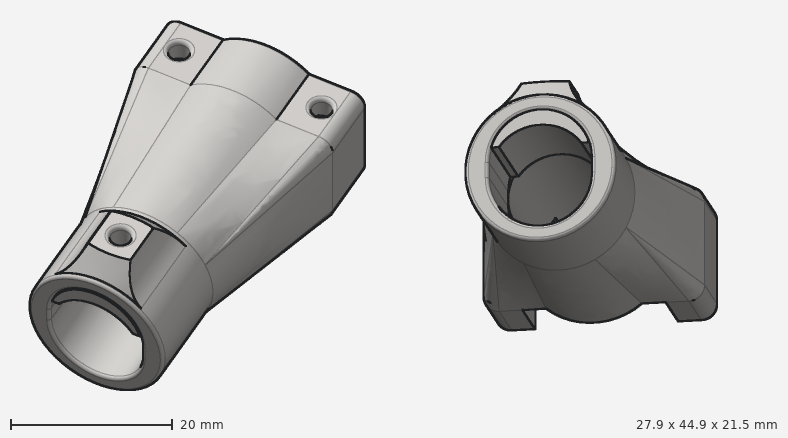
import cadquery as cq
import math

length = 44.85
front_y = -length / 2
back_y = length / 2
tube_end_y = -9.45
block_start_y = 13.65

tube_radius = 9.5
bore_radius = 6.45
tube_wall = tube_radius - bore_radius
slot_shift = 1.0
edge_round = 0.45

block_width = 27.85
block_half_width = block_width / 2
block_half_height = 7.35
block_corner_radius = 1.97
pocket_half_width = 9.0

top_strip_angle = 61.8
side_strip_angle = 27.8
corner_strip_angle = 0.4

pad_top_z = 11.97
pad_half_width = 3.0
pad_half_length = 5.85
pad_y = (front_y + tube_end_y) / 2

screw_radius = 1.35
screw_mouth_round = 0.6
block_screw_x = 10.0
block_screw_y = (block_start_y + back_y) / 2

shoe_underside_z = 2.85
shoe_screw_recess = 1.0

bulge_half_width = math.sqrt(tube_radius**2 - block_half_height**2)


def section(y):
    """Workplane across the tube axis; its local axes are X and Z, and it extrudes toward -Y."""
    return cq.Workplane("XZ", origin=(0, y, 0))


def prism(sketch, start_y, end_y):
    """Extrude the closed outline on a section at start_y as far as end_y."""
    return sketch.extrude(start_y - end_y)


def on_tube(angle):
    """Point (x, z) on the outer circle of the tube at a polar angle in degrees."""
    turn = math.radians(angle)
    return tube_radius * math.cos(turn), tube_radius * math.sin(turn)


def block_outline(y):
    """Rounded rectangle with a tube-sized bulge above and below, drawn clockwise from the top."""
    flat_x = block_half_width - block_corner_radius
    flat_z = block_half_height - block_corner_radius
    corner_mid = block_corner_radius * math.sqrt(0.5)
    mid_x = flat_x + corner_mid
    mid_z = flat_z + corner_mid
    return (
        section(y)
        .moveTo(-bulge_half_width, block_half_height)
        .threePointArc((0, tube_radius), (bulge_half_width, block_half_height))
        .lineTo(flat_x, block_half_height)
        .threePointArc((mid_x, mid_z), (block_half_width, flat_z))
        .lineTo(block_half_width, -flat_z)
        .threePointArc((mid_x, -mid_z), (flat_x, -block_half_height))
        .lineTo(bulge_half_width, -block_half_height)
        .threePointArc((0, -tube_radius), (-bulge_half_width, -block_half_height))
        .lineTo(-flat_x, -block_half_height)
        .threePointArc((-mid_x, -mid_z), (-block_half_width, -flat_z))
        .lineTo(-block_half_width, flat_z)
        .threePointArc((-mid_x, mid_z), (-flat_x, block_half_height))
        .close()
    )


def divided_circle(y):
    """Outer circle of the tube, split into arcs that pair with the edges of the block outline."""
    upper_corner = side_strip_angle + corner_strip_angle
    right_side = [top_strip_angle, upper_corner, side_strip_angle]
    right_side += [-angle for angle in reversed(right_side)]
    left_side = [-180 - angle for angle in reversed(right_side)]
    angles = right_side + left_side
    outline = section(y).moveTo(*on_tube(180 - top_strip_angle))
    previous = 180 - top_strip_angle
    for angle in angles:
        outline = outline.threePointArc(on_tube((previous + angle) / 2), on_tube(angle))
        previous = angle
    return outline.wire()


def make_slot():
    """Front stretch of the bore: a slot, taller than wide, that leaves room for the clamp shoe."""
    slot = section(front_y).slot2D(2 * (bore_radius + slot_shift), 2 * bore_radius, 90)
    return prism(slot, front_y, tube_end_y)


def make_tube():
    """Tube with its slot-shaped front bore; both front edges are rounded."""
    tube = prism(section(front_y).circle(tube_radius), front_y, tube_end_y)
    return tube.cut(make_slot()).faces("<Y").edges().fillet(edge_round)


def make_transition():
    """Ruled loft that narrows from the block outline to the tube."""
    wires = [divided_circle(tube_end_y).val(), block_outline(block_start_y).val()]
    return cq.Workplane(cq.Solid.makeLoft(wires, True))


def make_block():
    """Straight block at the back; its back edges are rounded."""
    block = prism(block_outline(block_start_y), block_start_y, back_y)
    return block.faces(">Y").edges().fillet(edge_round)


def pad_side_middle():
    """Middle point of the pad's right side arc, which is tangent to the tube at its foot."""
    normal_x = bulge_half_width / tube_radius
    normal_z = block_half_height / tube_radius
    chord_x = pad_half_width - bulge_half_width
    chord_z = pad_top_z - block_half_height
    chord_squared = chord_x**2 + chord_z**2
    radius = chord_squared / (2 * (chord_x * normal_x + chord_z * normal_z))
    centre_x = bulge_half_width + radius * normal_x
    centre_z = block_half_height + radius * normal_z
    toward_x = bulge_half_width + chord_x / 2 - centre_x
    toward_z = block_half_height + chord_z / 2 - centre_z
    reach = radius / math.hypot(toward_x, toward_z)
    return centre_x + toward_x * reach, centre_z + toward_z * reach


def make_pad():
    """Screw pad whose sides flow into the tube and whose ends are 45 degree cones about its axis."""
    start_y = pad_y - pad_half_length
    end_y = pad_y + pad_half_length
    middle_x, middle_z = pad_side_middle()
    across = prism(
        section(start_y)
        .moveTo(0, 0)
        .lineTo(bulge_half_width, block_half_height)
        .threePointArc((middle_x, middle_z), (pad_half_width, pad_top_z))
        .lineTo(-pad_half_width, pad_top_z)
        .threePointArc((-middle_x, middle_z), (-bulge_half_width, block_half_height))
        .close(),
        start_y,
        end_y,
    )
    apex_radius = tube_radius + pad_half_length
    half_outline = [
        (0, start_y),
        (tube_radius, start_y),
        (apex_radius, pad_y),
        (tube_radius, end_y),
        (0, end_y),
    ]
    cones = (
        cq.Workplane("XY")
        .polyline(half_outline)
        .close()
        .revolve(360, (0, 0, 0), (0, 1, 0))
    )
    return across.intersect(cones)


def screw_cutter(x, y, mouth_z, floor_z):
    """Vertical screw hole with a rounded mouth at mouth_z."""
    mouth_radius = screw_radius + screw_mouth_round
    arc_reach = screw_mouth_round * (1 - math.sqrt(0.5))
    depth = mouth_z - floor_z
    return (
        cq.Workplane("XZ")
        .moveTo(0, 0)
        .lineTo(mouth_radius, 0)
        .threePointArc((screw_radius + arc_reach, -arc_reach), (screw_radius, -screw_mouth_round))
        .lineTo(screw_radius, -depth)
        .lineTo(0, -depth)
        .close()
        .revolve(360, (0, 0, 0), (0, 1, 0))
        .translate((x, y, mouth_z))
    )


def make_housing():
    """Tube, transition and block as one body, with bore, pocket and screw holes."""
    pad = make_pad().cut(make_slot())

    bore = prism(section(tube_end_y).circle(bore_radius), tube_end_y, back_y)

    pocket_top_z = block_half_height - tube_wall
    pocket = prism(
        section(block_start_y)
        .moveTo(-pocket_half_width, pocket_top_z)
        .lineTo(pocket_half_width, pocket_top_z)
        .lineTo(pocket_half_width, -tube_radius)
        .lineTo(-pocket_half_width, -tube_radius)
        .close(),
        block_start_y,
        back_y,
    )

    back = make_transition().union(make_block()).cut(bore).cut(pocket)
    housing = make_tube().union(pad).union(back)

    housing = housing.cut(screw_cutter(0, pad_y, pad_top_z, bore_radius))
    for x in (-block_screw_x, block_screw_x):
        housing = housing.cut(screw_cutter(x, block_screw_y, block_half_height, pocket_top_z))
    return housing


def make_shoe():
    """Clamp shoe that fills the top of the slot and carries a round seat on its underside."""
    top_z = bore_radius + slot_shift
    upper_part = prism(
        section(front_y)
        .center(0, (top_z + shoe_underside_z) / 2)
        .rect(2 * bore_radius, top_z - shoe_underside_z),
        front_y,
        tube_end_y,
    )
    seat = prism(section(front_y).center(0, -slot_shift).circle(bore_radius), front_y, tube_end_y)
    recess = (
        cq.Workplane("XY", origin=(0, pad_y, top_z - shoe_screw_recess))
        .circle(screw_radius)
        .extrude(shoe_screw_recess)
    )
    return make_slot().intersect(upper_part).cut(seat).cut(recess)


housing = make_housing()
shoe = make_shoe()

result = cq.Compound.makeCompound([housing.solids().val(), shoe.solids().val()])